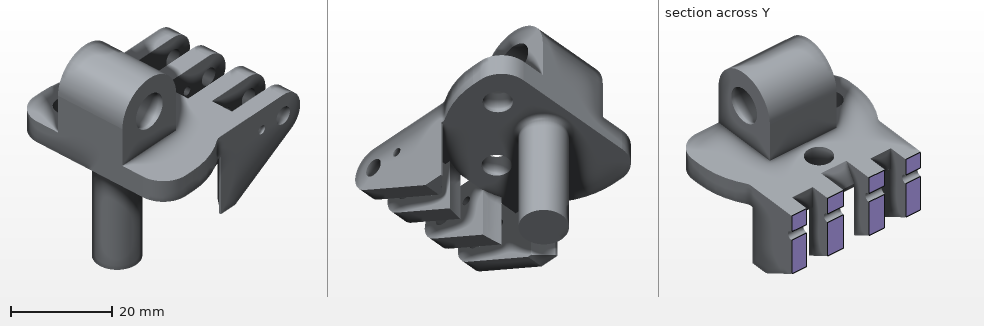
import cadquery as cq
import math


plate_thickness = 5.05
plate_width = 40.0
plate_radius = plate_width / 2
plate_front = 8.02
plate_back = 20.0
corner_radius = 6.0
neck_fillet = 2.0
bolt_hole_diameter = 6.0
bolt_hole_offset = 13.0

pin_radius = 5.0
pin_length = 25.15
pin_fillet = 1.0

lug_width = 17.0
lug_radius = plate_front
lug_height = 17.0
lug_hole_diameter = 8.02

arm_outer_x = 16.45
outer_arm_inner_x = 12.6
inner_arm_outer_x = 7.3
inner_arm_inner_x = 3.2
arm_tip_radius = plate_thickness
arm_reach = 35.95
arm_tip_y = arm_reach - arm_tip_radius
arm_root_y = 12.3
arm_heel_y = 16.6
arm_drop = 13.95
arm_hole_diameter = 4.0
latch_hole_diameter = 2.0
latch_hole_y = 24.5
clearance_radius = 20.15

bevel_depth = 2.45
bevel_slope = 60


def make_plate():
    """Plate with a round middle, rounded front corners and a straight neck."""
    fillet_center_x = arm_outer_x + neck_fillet
    fillet_center_y = math.sqrt((plate_radius + neck_fillet) ** 2 - fillet_center_x**2)
    tangent_scale = plate_radius / (plate_radius + neck_fillet)
    tangent_x = fillet_center_x * tangent_scale
    tangent_y = fillet_center_y * tangent_scale
    half_angle = math.atan2(tangent_y, tangent_x) / 2
    side_mid_x = plate_radius * math.cos(half_angle)
    side_mid_y = plate_radius * math.sin(half_angle)
    front_flat_x = plate_radius - corner_radius
    corner_y = corner_radius - plate_front

    return (
        cq.Workplane("XY")
        .moveTo(-front_flat_x, -plate_front)
        .lineTo(front_flat_x, -plate_front)
        .radiusArc((plate_radius, corner_y), -corner_radius)
        .lineTo(plate_radius, 0)
        .threePointArc((side_mid_x, side_mid_y), (tangent_x, tangent_y))
        .radiusArc((arm_outer_x, fillet_center_y), neck_fillet)
        .lineTo(arm_outer_x, plate_back)
        .lineTo(-arm_outer_x, plate_back)
        .lineTo(-arm_outer_x, fillet_center_y)
        .radiusArc((-tangent_x, tangent_y), neck_fillet)
        .threePointArc((-side_mid_x, side_mid_y), (-plate_radius, 0))
        .lineTo(-plate_radius, corner_y)
        .radiusArc((-front_flat_x, -plate_front), -corner_radius)
        .close()
        .extrude(plate_thickness)
    )


def make_arm(x_start, x_end):
    """Arm with a round tip and a sloping lower edge tangent to the tip."""
    heel_dy = arm_heel_y - arm_tip_y
    heel_distance = math.hypot(heel_dy, arm_drop)
    tangent_angle = math.atan2(-arm_drop, heel_dy) + math.acos(arm_tip_radius / heel_distance)
    mid_angle = (tangent_angle + math.pi / 2) / 2

    def tip_point(angle):
        return (
            arm_tip_y + arm_tip_radius * math.cos(angle),
            arm_tip_radius * math.sin(angle),
        )

    return (
        cq.Workplane("YZ", origin=(x_start, 0, 0))
        .moveTo(arm_root_y, plate_thickness)
        .lineTo(arm_tip_y, plate_thickness)
        .threePointArc(tip_point(mid_angle), tip_point(tangent_angle))
        .lineTo(arm_heel_y, -arm_drop)
        .lineTo(arm_root_y, -arm_drop)
        .close()
        .extrude(x_end - x_start)
    )


def make_pin():
    """Round pin under the plate."""
    return cq.Workplane("XY").circle(pin_radius).extrude(-pin_length)


def make_lug():
    """Upright lug with a rounded top, standing on the plate."""
    axis_z = plate_thickness + lug_height - lug_radius
    block = (
        cq.Workplane("XY", origin=(0, 0, plate_thickness))
        .rect(lug_width, 2 * lug_radius)
        .extrude(axis_z - plate_thickness)
    )
    axis_plane = cq.Workplane("YZ", origin=(-lug_width / 2, 0, axis_z))
    barrel = axis_plane.circle(lug_radius).extrude(lug_width)
    bore = axis_plane.circle(lug_hole_diameter / 2).extrude(lug_width)
    return block.union(barrel).cut(bore)


def make_cross_hole(y, diameter):
    """Cutter along X through all the arms, level with the plate underside."""
    return (
        cq.Workplane("YZ", origin=(-arm_outer_x, y, 0))
        .circle(diameter / 2)
        .extrude(2 * arm_outer_x)
    )


def make_bevel():
    """Wedge cutter for the back top edge of the plate between the inner arms."""
    bevel_height = bevel_depth * math.tan(math.radians(bevel_slope))
    return (
        cq.Workplane("YZ", origin=(-inner_arm_inner_x, 0, 0))
        .moveTo(plate_back - bevel_depth, plate_thickness)
        .lineTo(plate_back, plate_thickness)
        .lineTo(plate_back, plate_thickness - bevel_height)
        .close()
        .extrude(2 * inner_arm_inner_x)
    )


arm_spans = [
    (-arm_outer_x, -outer_arm_inner_x),
    (-inner_arm_outer_x, -inner_arm_inner_x),
    (inner_arm_inner_x, inner_arm_outer_x),
    (outer_arm_inner_x, arm_outer_x),
]
clearance = cq.Workplane("XY").circle(clearance_radius).extrude(-arm_drop)
arms = [make_arm(x_start, x_end).cut(clearance) for x_start, x_end in arm_spans]

result = make_plate().union(make_pin())
pin_root = cq.selectors.BoxSelector(
    (-pin_radius, -pin_radius, -pin_fillet),
    (pin_radius, pin_radius, pin_fillet),
)
result = result.edges("%CIRCLE").edges(pin_root).fillet(pin_fillet)

result = result.cut(make_bevel())
bolt_holes = (
    cq.Workplane("XY")
    .pushPoints([(0, bolt_hole_offset), (-bolt_hole_offset, 0)])
    .circle(bolt_hole_diameter / 2)
    .extrude(plate_thickness)
)
result = result.cut(bolt_holes)

result = result.union(make_lug())
for arm in arms:
    result = result.union(arm)
result = result.cut(make_cross_hole(arm_tip_y, arm_hole_diameter))
result = result.cut(make_cross_hole(latch_hole_y, latch_hole_diameter))